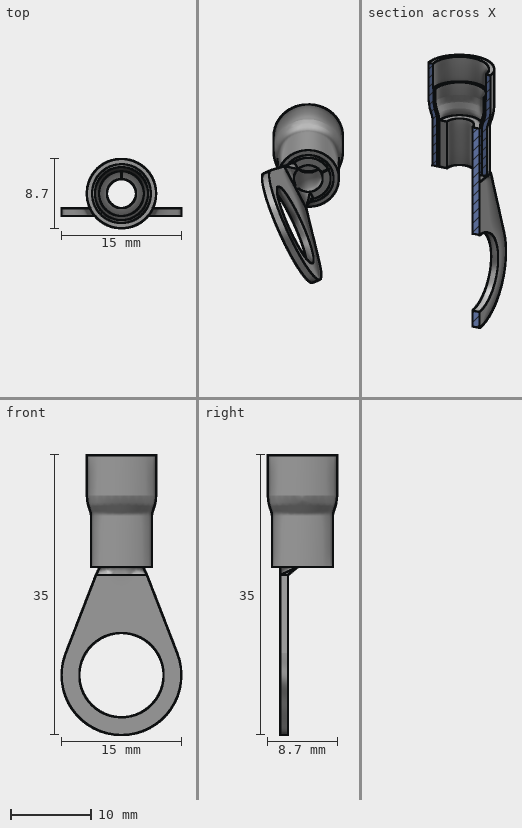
import cadquery as cq
import math


ring_radius = 7.5
stud_hole_radius = 5.25
sheet_thickness = 1.0
tongue_top_width = 6.4
tongue_top_z = 12.5

barrel_radius = 2.8
barrel_bore_radius = barrel_radius - sheet_thickness
seam_gap = 0.1
neck_length = 1.0
neck_edge_y = -0.6

insulation_length = 14.0
insulation_wide_radius = 4.35
insulation_narrow_radius = 3.83
wide_length = 5.1
taper_angle = math.radians(18)
shoulder_radius = 4.0
waist_radius = 1.7

support_top_depth = 3.35
support_wall = 0.36

tongue_front_y = -barrel_radius
tongue_back_y = tongue_front_y + sheet_thickness
sleeve_bottom_z = tongue_top_z + neck_length
rim_z = sleeve_bottom_z + insulation_length
support_top_z = rim_z - support_top_depth
shoulder_z = rim_z - wide_length

support_inner_offset = insulation_narrow_radius - barrel_radius
support_outer_offset = support_inner_offset - support_wall

rounding_sum = shoulder_radius + waist_radius
radius_step = insulation_wide_radius - insulation_narrow_radius
cone_step = radius_step - rounding_sum * (1 - math.cos(taper_angle))
taper_height = rounding_sum * math.sin(taper_angle) + cone_step / math.tan(taper_angle)
waist_z = shoulder_z - taper_height
barrel_top_z = waist_z


def stepped_solid(offset, top_z):
    """Solid of revolution bounded by the sleeve's outer surface moved inwards by offset."""
    convex = shoulder_radius - offset
    concave = waist_radius + offset
    convex_centre_r = insulation_wide_radius - shoulder_radius
    concave_centre_r = insulation_narrow_radius + waist_radius

    def shoulder_point(angle):
        return (convex_centre_r + convex * math.cos(angle), shoulder_z - convex * math.sin(angle))

    def waist_point(angle):
        return (concave_centre_r - concave * math.cos(angle), waist_z + concave * math.sin(angle))

    half_profile = (
        cq.Workplane("XZ")
        .moveTo(0, top_z)
        .lineTo(insulation_wide_radius - offset, top_z)
        .lineTo(*shoulder_point(0))
        .threePointArc(shoulder_point(taper_angle / 2), shoulder_point(taper_angle))
        .lineTo(*waist_point(taper_angle))
        .threePointArc(waist_point(taper_angle / 2), waist_point(0))
        .lineTo(insulation_narrow_radius - offset, sleeve_bottom_z)
        .lineTo(0, sleeve_bottom_z)
        .close()
    )
    return half_profile.revolve(360, (0, 0, 0), (0, 1, 0))


def make_insulating_sleeve():
    return stepped_solid(0, rim_z).cut(stepped_solid(support_outer_offset, rim_z))


def make_support_sleeve():
    outside = stepped_solid(support_outer_offset, support_top_z)
    return outside.cut(stepped_solid(support_inner_offset, support_top_z))


def make_tongue():
    """Flat ring whose straight sides run tangent to it up to the neck."""
    corner_x = tongue_top_width / 2
    corner_distance = math.hypot(corner_x, tongue_top_z)
    tangent_angle = math.atan2(corner_x, tongue_top_z) + math.acos(ring_radius / corner_distance)
    tangent_x = ring_radius * math.sin(tangent_angle)
    tangent_z = ring_radius * math.cos(tangent_angle)
    return (
        cq.Workplane("XZ", origin=(0, tongue_back_y, 0))
        .moveTo(-corner_x, tongue_top_z)
        .lineTo(corner_x, tongue_top_z)
        .lineTo(tangent_x, tangent_z)
        .threePointArc((0, -ring_radius), (-tangent_x, tangent_z))
        .close()
        .extrude(sheet_thickness)
        .cut(
            cq.Workplane("XZ", origin=(0, tongue_back_y, 0))
            .circle(stud_hole_radius)
            .extrude(sheet_thickness)
        )
    )


def make_neck():
    """Blend from the flat top of the tongue to the lower arc of the barrel wall."""
    corner_x = tongue_top_width / 2

    def tongue_edge(y):
        left = cq.Vector(-corner_x, y, tongue_top_z)
        right = cq.Vector(corner_x, y, tongue_top_z)
        return cq.Edge.makeLine(left, right)

    def barrel_edge(radius):
        end_x = math.sqrt(radius**2 - neck_edge_y**2)
        left = cq.Vector(-end_x, neck_edge_y, sleeve_bottom_z)
        middle = cq.Vector(0, -radius, sleeve_bottom_z)
        right = cq.Vector(end_x, neck_edge_y, sleeve_bottom_z)
        return cq.Edge.makeThreePointArc(left, middle, right)

    def joining_edge(first, second, end):
        return cq.Edge.makeLine(first.positionAt(end), second.positionAt(end))

    tongue_front = tongue_edge(tongue_front_y)
    tongue_back = tongue_edge(tongue_back_y)
    barrel_outer = barrel_edge(barrel_radius)
    barrel_inner = barrel_edge(barrel_bore_radius)

    edge_pairs = [
        (tongue_front, barrel_outer),
        (tongue_back, barrel_inner),
        (tongue_front, tongue_back),
        (barrel_outer, barrel_inner),
    ]
    for end in (0, 1):
        tongue_side = joining_edge(tongue_front, tongue_back, end)
        barrel_side = joining_edge(barrel_outer, barrel_inner, end)
        edge_pairs.append((tongue_side, barrel_side))

    faces = [cq.Face.makeRuledSurface(first, second) for first, second in edge_pairs]
    neck = cq.Solid.makeSolid(cq.Shell.makeShell(faces))
    return cq.Workplane(neck.fix())


def make_barrel():
    """Rolled tube with its open seam on the +Y side."""
    barrel_length = barrel_top_z - sleeve_bottom_z
    tube = (
        cq.Workplane("XY", origin=(0, 0, sleeve_bottom_z))
        .circle(barrel_radius)
        .circle(barrel_bore_radius)
        .extrude(barrel_length)
    )
    seam = (
        cq.Workplane("XY", origin=(0, 0, sleeve_bottom_z))
        .center(0, barrel_radius / 2)
        .rect(seam_gap, barrel_radius)
        .extrude(barrel_length)
    )
    return tube.cut(seam)


terminal = make_barrel().union(make_neck()).union(make_tongue())
support_sleeve = make_support_sleeve()
insulating_sleeve = make_insulating_sleeve()

result = cq.Compound.makeCompound([terminal.val(), support_sleeve.val(), insulating_sleeve.val()])